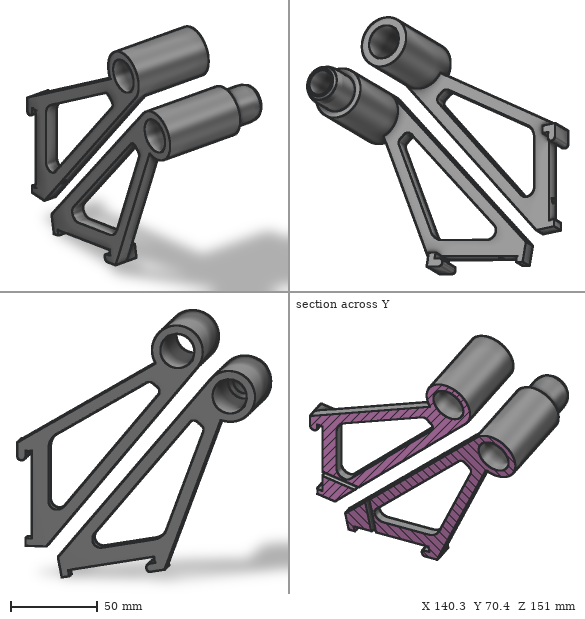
import cadquery as cq
import math


ring_diameter = 30.0
ring_length = 50.4
bore_diameter = 20.0
plate_thickness = 8.0
ring_radius = ring_diameter / 2

outer_x = -94.5
hook_top_z = -57.2
foot_z = -118.0
foot_corner_x = -77.4
hook_width = 4.8
slot_depth = 3.6
slot_top_z = -61.9
slot_bottom_z = -113.5
hook_tip_z = -67.6
hook_radius = 2.3
hook_inner_x = outer_x + hook_width
slot_wall_x = hook_inner_x + slot_depth

lug_depth = 15.1

beam_width = 7.2
post_width = 10.0
window_end_distance = 24.3
window_lower_radius = 5.0
window_outer_radius = 10.0
window_end_radius = 3.0

drill_diameter = 3.0
drill_y = 3.0
drill_z = slot_bottom_z + 13.7

pin_diameter = 22.5
pin_length = 20.0
pin_bore_diameter = 15.0
pin_tip_diameter = 16.9
pin_round_length = 6.5
pin_round_end_diameter = 20.0
pin_chamfer_length = 1.7

overall_width = 140.3
overall_height = 150.9
plain_ring_center = (-outer_x, overall_height - ring_radius)
pin_ring_height = 110.1
pin_ring_center = (overall_width - ring_radius, pin_ring_height)
pin_bracket_angle = 79.2

beam_angle = math.atan2(-hook_top_z, -outer_x)
corner_distance = math.hypot(foot_corner_x, foot_z)
rail_angle = math.atan2(-foot_z, -foot_corner_x) - math.asin(ring_radius / corner_distance)


def extrude_back(sketch, depth):
    """Extrude an XZ sketch from the front face toward +Y."""
    return sketch.extrude(-depth)


def cylinder(diameter, start_y, length):
    sketch = cq.Workplane("XZ", origin=(0, start_y, 0)).circle(diameter / 2)
    return extrude_back(sketch, length)


def meet(first, second):
    """Crossing point of two lines, each given as (normal angle, distance from the ring centre)."""
    angle_1, distance_1 = first
    angle_2, distance_2 = second
    scale = math.sin(angle_2 - angle_1)
    x = (distance_1 * math.sin(angle_2) - distance_2 * math.sin(angle_1)) / scale
    z = (distance_2 * math.cos(angle_1) - distance_1 * math.cos(angle_2)) / scale
    return (x, z)


def draw_hook(path):
    """Continue an outline from the top of the hook, round its tip, to the top of the slot wall."""
    return (
        path.lineTo(outer_x, hook_tip_z + hook_radius)
        .tangentArcPoint((outer_x + hook_radius, hook_tip_z), relative=False)
        .lineTo(hook_inner_x - hook_radius, hook_tip_z)
        .tangentArcPoint((hook_inner_x, hook_tip_z + hook_radius), relative=False)
        .lineTo(hook_inner_x, slot_top_z)
        .lineTo(slot_wall_x, slot_top_z)
    )


def make_plate():
    tangent_point = (ring_radius * math.sin(rail_angle), -ring_radius * math.cos(rail_angle))
    sketch = (
        draw_hook(cq.Workplane("XZ").moveTo(0, 0).lineTo(outer_x, hook_top_z))
        .lineTo(slot_wall_x, slot_bottom_z)
        .lineTo(hook_inner_x, slot_bottom_z)
        .lineTo(hook_inner_x, foot_z)
        .lineTo(foot_corner_x, foot_z)
        .lineTo(*tangent_point)
        .close()
    )
    return extrude_back(sketch, plate_thickness)


def make_window():
    quarter_turn = math.pi / 2
    post_edge = (0, slot_wall_x + post_width)
    rail_edge = (rail_angle - quarter_turn, ring_radius - beam_width)
    beam_edge = (beam_angle - quarter_turn, beam_width)
    end_edge = (rail_angle, -window_end_distance)
    lower = meet(post_edge, rail_edge)
    outer = meet(post_edge, beam_edge)
    end_low = meet(rail_edge, end_edge)
    end_high = meet(beam_edge, end_edge)
    sketch = cq.Workplane("XZ").polyline([lower, end_low, end_high, outer]).close()
    window = extrude_back(sketch, plate_thickness)
    corner_radii = [
        (lower, window_lower_radius),
        (outer, window_outer_radius),
        (end_low, window_end_radius),
        (end_high, window_end_radius),
    ]
    for (x, z), radius in corner_radii:
        edge = cq.selectors.NearestToPointSelector((x, plate_thickness / 2, z))
        window = window.edges(edge).fillet(radius)
    return window


def make_lug():
    sketch = (
        draw_hook(cq.Workplane("XZ").moveTo(outer_x, hook_top_z))
        .lineTo(slot_wall_x, hook_top_z)
        .close()
    )
    return extrude_back(sketch, lug_depth)


def make_cross_drill():
    length = foot_corner_x / 2 - slot_wall_x
    sketch = cq.Workplane("YZ", origin=(slot_wall_x, drill_y, drill_z)).circle(drill_diameter / 2)
    return sketch.extrude(length)


def make_bracket_blank():
    """Bracket with a solid ring, before its bore is cut."""
    frame = make_plate().cut(make_window()).cut(make_cross_drill()).union(make_lug())
    return frame.union(cylinder(ring_diameter, 0, ring_length))


def make_plain_bracket():
    return make_bracket_blank().cut(cylinder(bore_diameter, 0, ring_length))


def make_pin():
    end_y = ring_length + pin_length
    pin_radius = pin_diameter / 2
    round_end = (pin_round_end_diameter / 2, end_y - pin_chamfer_length)
    profile = (
        cq.Workplane("XY")
        .moveTo(0, ring_length)
        .lineTo(pin_radius, ring_length)
        .lineTo(pin_radius, end_y - pin_round_length)
        .tangentArcPoint(round_end, relative=False)
        .lineTo(pin_tip_diameter / 2, end_y)
        .lineTo(0, end_y)
        .close()
    )
    return profile.revolve(360, (0, 0, 0), (0, 1, 0))


def make_pin_bore():
    """Stepped bore with a 45 degree cone that ends at the pin shoulder."""
    bore_radius = bore_diameter / 2
    pin_bore_radius = pin_bore_diameter / 2
    cone_length = bore_radius - pin_bore_radius
    end_y = ring_length + pin_length
    profile = cq.Workplane("XY").polyline([
        (0, 0),
        (bore_radius, 0),
        (bore_radius, ring_length - cone_length),
        (pin_bore_radius, ring_length),
        (pin_bore_radius, end_y),
        (0, end_y),
    ]).close()
    return profile.revolve(360, (0, 0, 0), (0, 1, 0))


def make_pin_bracket():
    mirrored = make_bracket_blank().mirror("YZ")
    turned = mirrored.rotate((0, 0, 0), (0, 1, 0), pin_bracket_angle)
    return turned.union(make_pin()).cut(make_pin_bore())


def place(bracket, center):
    x, z = center
    return bracket.translate((x, 0, z))


plain_bracket = place(make_plain_bracket(), plain_ring_center)
pin_bracket = place(make_pin_bracket(), pin_ring_center)

result = cq.Compound.makeCompound([plain_bracket.val(), pin_bracket.val()])